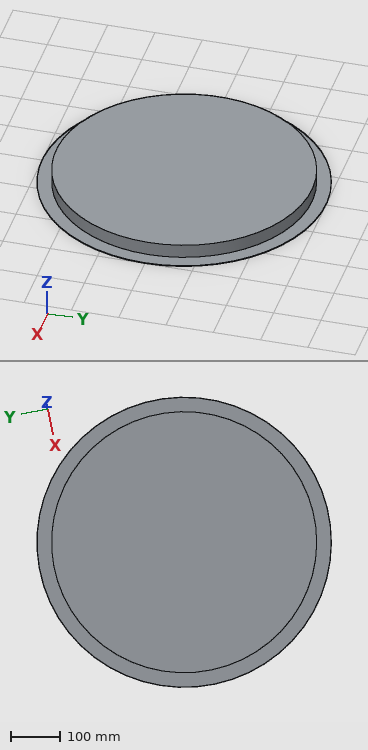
import cadquery as cq

plate_diameter = 600.0
plate_thickness = 2.0
disc_diameter = 540.0
disc_height = 30.0


def make_plate():
    """Thin round plate resting on the XY plane."""
    return cq.Workplane("XY").circle(plate_diameter / 2).extrude(plate_thickness)


def make_disc():
    """Thick round disc standing on the plate."""
    return (
        cq.Workplane("XY")
        .workplane(offset=plate_thickness)
        .circle(disc_diameter / 2)
        .extrude(disc_height)
    )


plate = make_plate()
disc = make_disc()

result = cq.Compound.makeCompound([plate.val(), disc.val()])